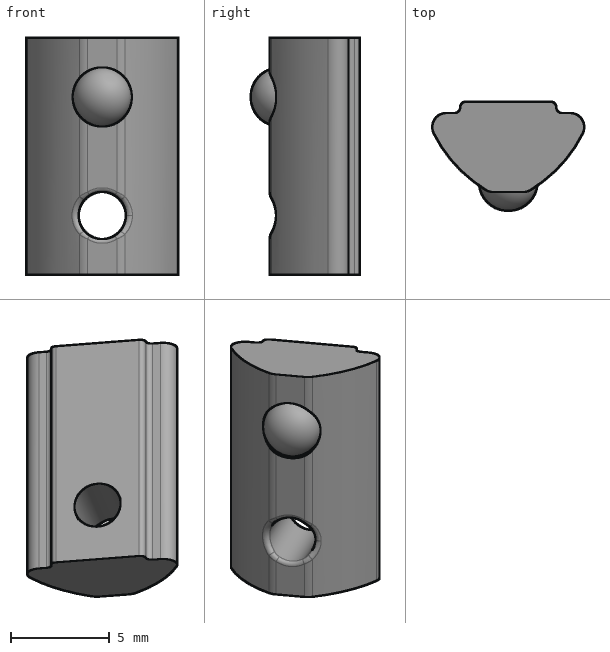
import cadquery as cq
import math

length = 12.0
width = 7.7
depth = 4.58
neck_width = 4.87
neck_radius = 0.29
neck_height = 2 * neck_radius
corner_radius = 0.72
corner_sweep_below_centre = 26.6
flank_radius = 7.0
nose_radius = 0.78

hole_radius = 1.19
hole_z = length / 4
mouth_radius = 0.22
rim_margin = 0.12

ball_radius = 1.5
ball_protrusion = 0.96
ball_y = ball_radius - ball_protrusion
ball_z = length - hole_z


def on_circle(centre, radius, angle):
    """Point on a circle at an angle in radians."""
    return (centre[0] + radius * math.cos(angle), centre[1] + radius * math.sin(angle))


def half_profile():
    """Right half of the nut profile, closed along the symmetry line."""
    neck_x = neck_width / 2
    shoulder_y = depth - neck_height
    corner = (width / 2 - corner_radius, shoulder_y - corner_radius)

    flank_start = -math.radians(corner_sweep_below_centre)
    flank = on_circle(corner, corner_radius - flank_radius, flank_start)

    centre_gap = flank_radius - nose_radius
    flank_end = math.asin((nose_radius - flank[1]) / centre_gap)
    nose = on_circle(flank, centre_gap, flank_end)
    nose_end = -math.pi / 2

    return (
        cq.Workplane("XY")
        .moveTo(0, depth)
        .lineTo(neck_x - neck_radius, depth)
        .radiusArc((neck_x, depth - neck_radius), neck_radius)
        .radiusArc((neck_x + neck_radius, shoulder_y), -neck_radius)
        .lineTo(corner[0], shoulder_y)
        .threePointArc(
            on_circle(corner, corner_radius, (math.pi / 2 + flank_start) / 2),
            on_circle(corner, corner_radius, flank_start),
        )
        .threePointArc(
            on_circle(flank, flank_radius, (flank_start + flank_end) / 2),
            on_circle(flank, flank_radius, flank_end),
        )
        .threePointArc(
            on_circle(nose, nose_radius, (flank_end + nose_end) / 2),
            on_circle(nose, nose_radius, nose_end),
        )
        .lineTo(0, 0)
        .close()
    )


def cylinder_along_y(radius, z, y_start, y_end):
    return cq.Workplane("XZ", origin=(0, y_start, z)).circle(radius).extrude(y_start - y_end)


def make_ball():
    return cq.Workplane("XY", origin=(0, ball_y, ball_z)).sphere(ball_radius)


def make_nut():
    half = half_profile().extrude(length)
    nut = half.union(half.mirror("YZ")).clean()
    nut = nut.cut(cylinder_along_y(hole_radius, hole_z, 0, depth))
    reach = hole_radius + rim_margin
    rim = cq.selectors.BoxSelector(
        (-reach, -rim_margin, hole_z - reach),
        (reach, depth / 2, hole_z + reach),
        boundingbox=True,
    )
    nut = nut.edges(rim).fillet(mouth_radius)
    nut = nut.cut(cylinder_along_y(ball_radius, ball_z, 0, ball_y))
    return nut.cut(make_ball())


nut = make_nut()
ball = make_ball()
result = cq.Compound.makeCompound([nut.val(), ball.val()])